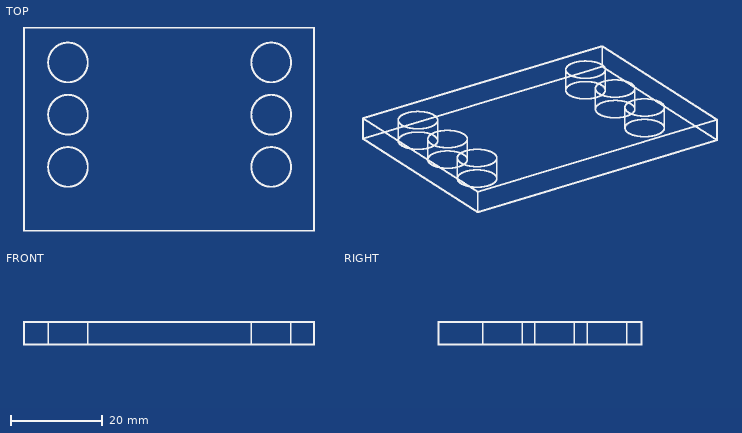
import cadquery as cq

plate_length = 63.5
plate_width = 44.45
plate_thickness = 5.0

hole_diameter = 8.64
holes_per_column = 3
hole_pitch = 11.43
column_spacing = 44.45
column_offset_x = 0.127
middle_hole_y = 3.175


def make_plate():
    return cq.Workplane("XY").box(plate_length, plate_width, plate_thickness)


def cut_holes(plate):
    return (
        plate.faces(">Z")
        .workplane(origin=(column_offset_x, middle_hole_y, 0))
        .rarray(column_spacing, hole_pitch, 2, holes_per_column)
        .hole(hole_diameter)
    )


result = cut_holes(make_plate())